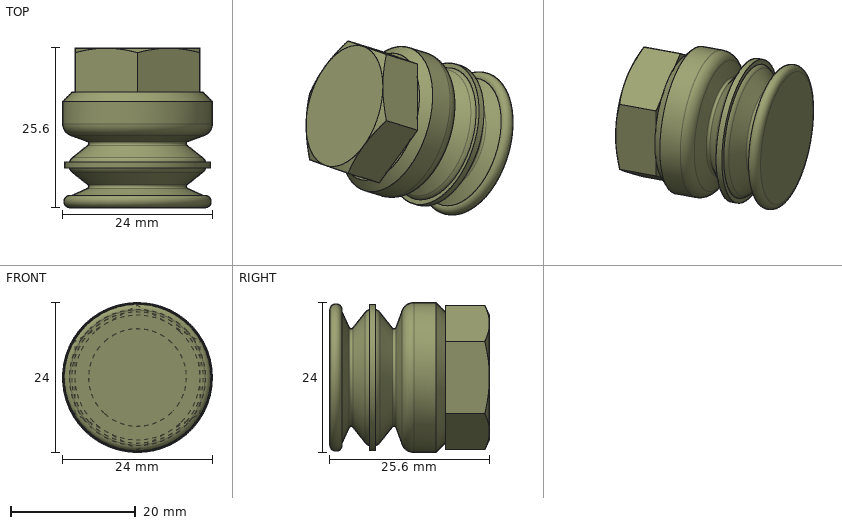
import cadquery as cq
import math

overall_length = 25.55
hex_length = 7.05
shoulder_y = overall_length - hex_length

hex_across_flats = 20.0
hex_side_count = 6
hex_across_corners = hex_across_flats / math.cos(math.pi / hex_side_count)
hex_chamfer_angle = 25.0

body_radius = 24.0 / 2
body_chamfer = 1.5
body_round = 2.0
body_round_start_y = 13.45
body_cone_angle = 70.0

ring_radius = 23.4 / 2
ring_width = 1.0
ring_center_y = 6.85
fold_angle = 51.5
crest_radius = 11.0
crest_round = 1.5
valley_round = 0.35

lip_radius = 11.8
lip_bead_radius = 1.0
lip_bead_overrun = 15.0
lip_cone_angle = 65.5


def slope(angle):
    """Radial rise per unit of axial travel of a cone."""
    return math.tan(math.radians(angle))


def valley_corner(front, front_angle, rear, rear_angle):
    """Sharp corner where a cone narrowing rearward meets a cone narrowing forward."""
    front_radius, front_y = front
    rear_radius, rear_y = rear
    front_slope = slope(front_angle)
    rear_slope = slope(rear_angle)
    corner_y = (
        front_radius - rear_radius + front_slope * front_y + rear_slope * rear_y
    ) / (front_slope + rear_slope)
    return front_radius - front_slope * (corner_y - front_y), corner_y


def round_corner(before, corner, after, radius):
    """Return start, middle and end of an arc of this radius tangent to both legs of a corner."""
    corner_vec = cq.Vector(*corner)
    leg_in = (cq.Vector(*before) - corner_vec).normalized()
    leg_out = (cq.Vector(*after) - corner_vec).normalized()
    half_angle = leg_in.getAngle(leg_out) / 2
    setback = radius / math.tan(half_angle)
    middle_distance = radius / math.sin(half_angle) - radius
    middle = corner_vec + (leg_in + leg_out).normalized() * middle_distance
    return [
        (point.x, point.y)
        for point in (corner_vec + leg_in * setback, middle, corner_vec + leg_out * setback)
    ]


def make_bellows_body():
    """Revolve the lip, the fold and the round body; profile points are (radius, Y)."""
    bead_center_radius = lip_radius - lip_bead_radius
    overrun = math.radians(lip_bead_overrun)
    lip_cone_start = (
        bead_center_radius - lip_bead_radius * math.sin(overrun),
        lip_bead_radius + lip_bead_radius * math.cos(overrun),
    )

    body_setback = body_round * math.tan(math.radians(body_cone_angle / 2))
    body_corner = (body_radius, body_round_start_y - body_setback)
    body_top = (body_radius, shoulder_y - body_chamfer)

    crest_excess = crest_round / math.cos(math.radians(fold_angle)) - crest_round
    crest = (crest_radius + crest_excess, ring_center_y)
    front_valley = valley_corner(lip_cone_start, lip_cone_angle, crest, fold_angle)
    rear_valley = valley_corner(crest, fold_angle, body_corner, body_cone_angle)

    profile = (
        cq.Workplane("XY")
        .moveTo(0, 0)
        .lineTo(bead_center_radius, 0)
        .threePointArc((lip_radius, lip_bead_radius), lip_cone_start)
    )
    rounded_corners = [
        (lip_cone_start, front_valley, crest, valley_round),
        (front_valley, crest, rear_valley, crest_round),
        (crest, rear_valley, body_corner, valley_round),
        (rear_valley, body_corner, body_top, body_round),
    ]
    for before, corner, after, radius in rounded_corners:
        start, middle, end = round_corner(before, corner, after, radius)
        profile = profile.lineTo(*start).threePointArc(middle, end)

    profile = (
        profile
        .lineTo(*body_top)
        .lineTo(body_radius - body_chamfer, shoulder_y)
        .lineTo(0, shoulder_y)
        .close()
    )
    return profile.revolve(360, (0, 0), (0, 1))


def make_ring():
    """Thin ring around the crest of the fold."""
    ring_plane = cq.Plane(
        origin=(0, ring_center_y - ring_width / 2, 0), xDir=(1, 0, 0), normal=(0, 1, 0)
    )
    return cq.Workplane(ring_plane).circle(ring_radius).extrude(ring_width)


def make_hex_head():
    """Hexagon with flats facing +X and -X and a conical chamfer on its rear corners."""
    hex_plane = cq.Plane(origin=(0, shoulder_y, 0), xDir=(0, 0, 1), normal=(0, 1, 0))
    prism = cq.Workplane(hex_plane).polygon(hex_side_count, hex_across_corners).extrude(hex_length)

    face_radius = hex_across_flats / 2
    corner_radius = hex_across_corners / 2
    chamfer_drop = (corner_radius - face_radius) * math.tan(math.radians(hex_chamfer_angle))
    envelope = (
        cq.Workplane("XY")
        .moveTo(0, shoulder_y)
        .lineTo(corner_radius, shoulder_y)
        .lineTo(corner_radius, overall_length - chamfer_drop)
        .lineTo(face_radius, overall_length)
        .lineTo(0, overall_length)
        .close()
        .revolve(360, (0, 0), (0, 1))
    )
    return prism.intersect(envelope)


result = make_bellows_body().union(make_ring()).union(make_hex_head())